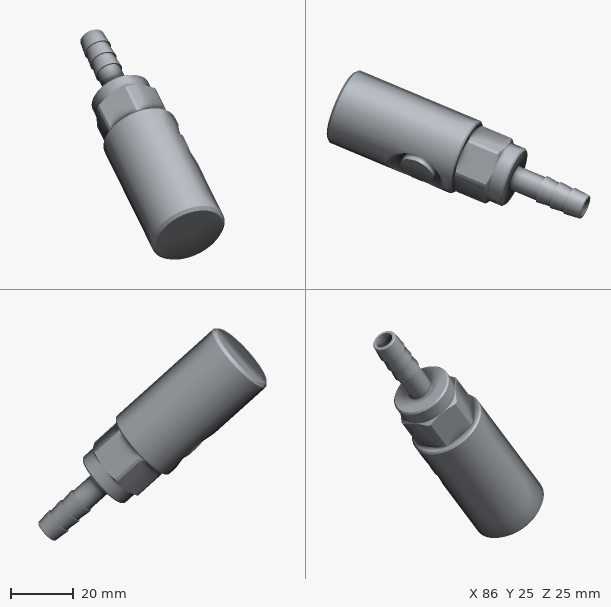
import cadquery as cq
import math


tail_length = 25.0
collar_length = 5.0
hex_length = 12.0
body_length = 44.0
collar_start = tail_length
hex_start = collar_start + collar_length
body_start = hex_start + hex_length
body_end = body_start + body_length

tube_radius = 4.0
barb_radius = 4.5
barb_count = 3
first_barb_end = 5.5
barb_pitch = 4.9
tip_chamfer = 0.25
root_fillet = 0.5
bore_radius = 3.0
bore_depth = hex_start

collar_radius = 9.9
collar_chamfer = 0.5
hex_across_flats = 20.0
flat_radius = hex_across_flats / 2
hex_half_angle = 180 / 6
hex_corner_radius = 11.25
hex_chamfer_angle = 30

body_radius = 12.5
body_front_chamfer = 0.5
body_end_chamfer = 1.0

button_x = 54.2
button_radius = 5.8
button_top = 11.2
recess_rim_radius = 10.0


def turned(points):
    """Revolve an outline of (x, radius) points about the X axis."""
    return cq.Workplane("XY").polyline(points).close().revolve(360, (0, 0, 0), (1, 0, 0))


def make_tail():
    points = [
        (0, 0),
        (0, tube_radius - tip_chamfer),
        (tip_chamfer, tube_radius),
    ]
    for index in range(barb_count):
        barb_end = first_barb_end + index * barb_pitch
        points += [(barb_end, barb_radius), (barb_end, tube_radius)]
    outline = cq.Workplane("XY").polyline(points)
    outline = outline.lineTo(collar_start - root_fillet, tube_radius)
    outline = outline.radiusArc((collar_start, tube_radius + root_fillet), -root_fillet)
    outline = outline.lineTo(collar_start, 0).close()
    return outline.revolve(360, (0, 0, 0), (1, 0, 0))


def make_collar():
    return turned([
        (collar_start, 0),
        (collar_start, collar_radius - collar_chamfer),
        (collar_start + collar_chamfer, collar_radius),
        (hex_start, collar_radius),
        (hex_start, 0),
    ])


def make_hexagon():
    """Hexagon with flats facing +Y and -Y, its corners turned down and chamfered at both ends."""
    corner_diameter = hex_across_flats / math.cos(math.radians(hex_half_angle))
    prism = (
        cq.Workplane("YZ", origin=(hex_start, 0, 0))
        .polygon(6, corner_diameter)
        .extrude(hex_length)
        .rotate((0, 0, 0), (1, 0, 0), hex_half_angle)
    )
    chamfer_length = (hex_corner_radius - flat_radius) * math.tan(math.radians(hex_chamfer_angle))
    envelope = turned([
        (hex_start, 0),
        (hex_start, flat_radius),
        (hex_start + chamfer_length, hex_corner_radius),
        (body_start - chamfer_length, hex_corner_radius),
        (body_start, flat_radius),
        (body_start, 0),
    ])
    return prism.intersect(envelope)


def make_body():
    return turned([
        (body_start, 0),
        (body_start, body_radius - body_front_chamfer),
        (body_start + body_front_chamfer, body_radius),
        (body_end - body_end_chamfer, body_radius),
        (body_end, body_radius - body_end_chamfer),
        (body_end, 0),
    ])


def make_button_recess():
    """Cutter for the 45 degree cone around the button and the space above the button top."""
    cone_foot = body_radius - (recess_rim_radius - button_radius)
    return (
        cq.Workplane("XY", origin=(button_x, 0, 0))
        .moveTo(0, button_top)
        .lineTo(button_radius, button_top)
        .lineTo(button_radius, cone_foot)
        .lineTo(recess_rim_radius, body_radius)
        .lineTo(0, body_radius)
        .close()
        .revolve(360, (0, 0, 0), (0, 1, 0))
    )


def make_bore():
    return cq.Workplane("YZ").circle(bore_radius).extrude(bore_depth)


coupling = make_tail().union(make_collar()).union(make_hexagon()).union(make_body())
result = coupling.cut(make_button_recess()).cut(make_bore())